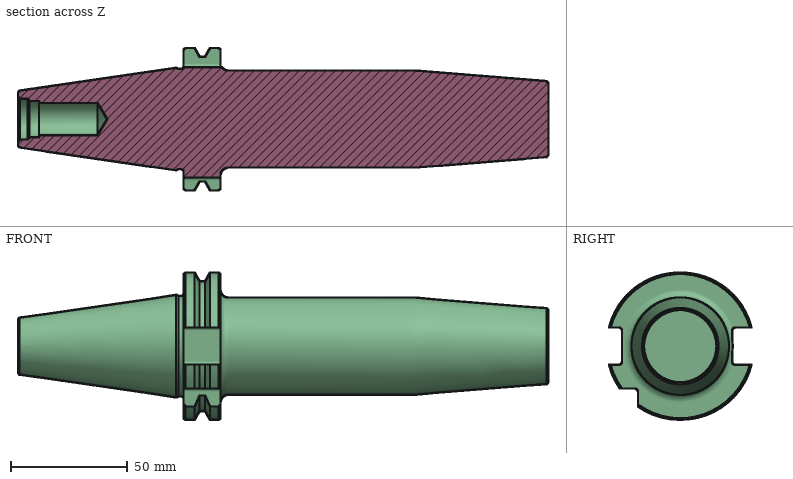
import cadquery as cq
import math

total_length = 228.2
gauge_x = 68.0
gauge_radius = 22.1
taper_half_slope = 7 / 48
end_chamfer = 0.7

neck_chamfer_length = 1.1
neck_radius = 21.7
neck_fillet = 1.0

flange_start = 71.2
flange_width = 16.0
flange_end = flange_start + flange_width
flange_radius = 31.7
flange_chamfer = 1.0
flange_chamfer_height = 0.7
back_rim_width = 4.8
front_rim_width = 4.5
groove_floor_radius = 28.0
groove_flank_angle = 30.0

body_radius = 21.0
body_fillet = 3.2
nose_start = 170.7
nose_radius = 16.5
nose_chamfer = 1.0

slot_width = 16.0
back_slot_depth_y = 22.4
front_slot_depth_y = 25.0
slot_fillet = 1.4
notch_offset = 18.3

mouth_radius = 9.5
mouth_chamfer_depth = 1.0
counterbore_radius = 8.7
counterbore_depth = 4.0
inner_step_radius = 7.8
inner_step_depth = 9.1
drill_radius = 6.8
drill_depth = 34.2
drill_point_angle = 118.0


def revolve_about_x(outline):
    return outline.close().revolve(360, (0, 0, 0), (1, 0, 0))


def make_body():
    small_radius = gauge_radius - gauge_x * taper_half_slope
    flank_run = (flange_radius - groove_floor_radius) * math.tan(math.radians(groove_flank_angle))
    diagonal = math.sqrt(0.5)
    fillet_middle = body_fillet * (1 - diagonal)
    return revolve_about_x(
        cq.Workplane("XY")
        .lineTo(0, small_radius - end_chamfer)
        .lineTo(end_chamfer, small_radius + end_chamfer * taper_half_slope)
        .lineTo(gauge_x, gauge_radius)
        .lineTo(gauge_x + neck_chamfer_length, neck_radius)
        .lineTo(flange_start - neck_fillet, neck_radius)
        .threePointArc(
            (flange_start - neck_fillet * (1 - diagonal), neck_radius + neck_fillet * (1 - diagonal)),
            (flange_start, neck_radius + neck_fillet),
        )
        .lineTo(flange_start, flange_radius - flange_chamfer_height)
        .lineTo(flange_start + flange_chamfer, flange_radius)
        .lineTo(flange_start + back_rim_width, flange_radius)
        .lineTo(flange_start + back_rim_width + flank_run, groove_floor_radius)
        .lineTo(flange_end - front_rim_width - flank_run, groove_floor_radius)
        .lineTo(flange_end - front_rim_width, flange_radius)
        .lineTo(flange_end - flange_chamfer, flange_radius)
        .lineTo(flange_end, flange_radius - flange_chamfer_height)
        .lineTo(flange_end, body_radius + body_fillet)
        .threePointArc(
            (flange_end + fillet_middle, body_radius + fillet_middle),
            (flange_end + body_fillet, body_radius),
        )
        .lineTo(nose_start, body_radius)
        .lineTo(total_length - nose_chamfer, nose_radius)
        .lineTo(total_length, nose_radius - nose_chamfer)
        .lineTo(total_length, 0)
    )


def make_bore():
    point_length = drill_radius / math.tan(math.radians(drill_point_angle / 2))
    return revolve_about_x(
        cq.Workplane("XY")
        .lineTo(0, mouth_radius)
        .lineTo(mouth_chamfer_depth, counterbore_radius)
        .lineTo(counterbore_depth, counterbore_radius)
        .lineTo(counterbore_depth + counterbore_radius - inner_step_radius, inner_step_radius)
        .lineTo(inner_step_depth, inner_step_radius)
        .lineTo(inner_step_depth, drill_radius)
        .lineTo(drill_depth, drill_radius)
        .lineTo(drill_depth + point_length, 0)
    )


def flange_cutter(y_min, y_max, z_min, z_max):
    """Box across the flange and the fillet in front of it."""
    return cq.Workplane("XY").box(
        flange_width + body_fillet, y_max - y_min, z_max - z_min, centered=False
    ).translate((flange_start, y_min, z_min))


def make_back_slot():
    slot = flange_cutter(back_slot_depth_y, flange_radius, -slot_width / 2, slot_width / 2)
    return slot.edges("|X and <Y").fillet(slot_fillet)


def make_front_slot():
    slot = flange_cutter(-flange_radius, -front_slot_depth_y, -slot_width / 2, slot_width / 2)
    return slot.edges("|X and >Y").fillet(slot_fillet)


def make_notch():
    notch = flange_cutter(-flange_radius, -notch_offset, -flange_radius, -notch_offset)
    return notch.edges("|X and >Y and >Z").fillet(slot_fillet)


result = make_body()
for cutter in (make_bore(), make_back_slot(), make_front_slot(), make_notch()):
    result = result.cut(cutter)